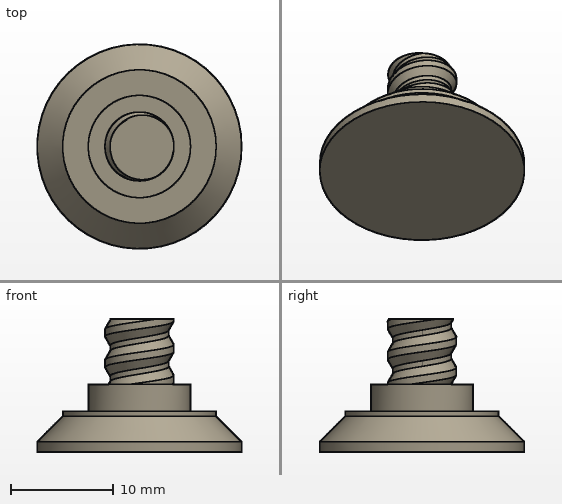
import cadquery as cq
import math

flange_diameter = 20.0
flange_rim_height = 1.0
step_diameter = 15.0
cone_height = (flange_diameter - step_diameter) / 2
step_height = 0.5
hub_diameter = 10.0
hub_top = 6.6
total_height = 13.0

root_diameter = 5.75
crest_diameter = 6.75
pitch = 3.0
crest_width = 0.72
flank_angle = 30.0
ridge_overlap = 0.08
root_center_height = 0.55
turns = 4
lead_in_turns = 1.5


def make_base():
    flange_radius = flange_diameter / 2
    step_radius = step_diameter / 2
    hub_radius = hub_diameter / 2
    cone_top = flange_rim_height + cone_height
    step_top = cone_top + step_height
    return (
        cq.Workplane("XZ")
        .polyline([
            (0, 0),
            (flange_radius, 0),
            (flange_radius, flange_rim_height),
            (step_radius, cone_top),
            (step_radius, step_top),
            (hub_radius, step_top),
            (hub_radius, hub_top),
            (0, hub_top),
        ])
        .close()
        .revolve(360, (0, 0, 0), (0, 1, 0))
    )


def make_stud_cylinder(diameter):
    return cq.Workplane("XY").workplane(offset=hub_top).circle(diameter / 2).extrude(total_height - hub_top)


def make_thread_ridge():
    root_radius = root_diameter / 2
    crest_radius = crest_diameter / 2
    inner_radius = root_radius - ridge_overlap
    half_crest = crest_width / 2
    half_base = half_crest + (crest_radius - inner_radius) / math.tan(math.radians(flank_angle))
    start_height = hub_top + root_center_height - lead_in_turns * pitch

    helix = cq.Wire.makeHelix(pitch, turns * pitch, root_radius)
    ridge = (
        cq.Workplane("XZ")
        .polyline([
            (inner_radius, -half_base),
            (crest_radius, -half_crest),
            (crest_radius, half_crest),
            (inner_radius, half_base),
        ])
        .close()
        .sweep(cq.Workplane(obj=helix), isFrenet=True)
    )
    return ridge.rotate((0, 0, 0), (0, 0, 1), 180).translate((0, 0, start_height))


trim_block = make_stud_cylinder(hub_diameter)
thread_ridge = make_thread_ridge().intersect(trim_block)
stud = make_stud_cylinder(root_diameter).union(thread_ridge)
result = make_base().union(stud)